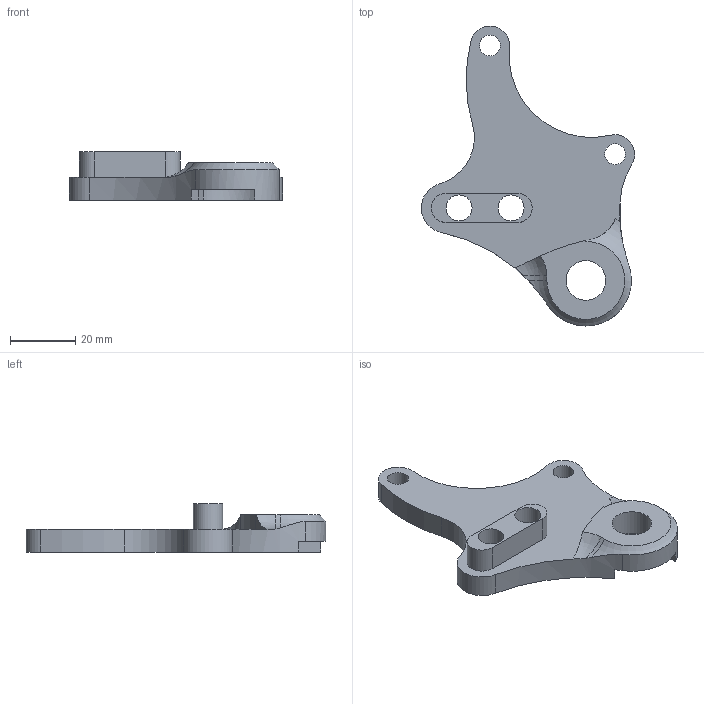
import cadquery as cq
import math

PLATE_THICKNESS = 7.0
BOSS_HEIGHT = 11.5
SLIDER_HEIGHT = 14.91
RECESS_DEPTH = 3.35

PIVOT = (0.0, 0.0)
BOSS_RADIUS = 14.0
BOSS_TOP_RADIUS = 12.0
PIVOT_HOLE_DIAMETER = 12.2

TOP_LUG = (-29.5, 72.26)
RIGHT_LUG = (9.0, 38.83)
SMALL_LUG_RADIUS = 6.0
LUG_HOLE_DIAMETER = 6.4
LEFT_LUG = (-42.9, 22.3)
LEFT_LUG_RADIUS = 7.68

UPPER_HOLLOW_RADIUS = 25.4
RIGHT_HOLLOW_RADIUS = 26.0
LOWER_RIGHT_HOLLOW_RADIUS = 48.8
LOWER_RIGHT_CENTER_Y = 20.9
LOWER_LEFT_HOLLOW_RADIUS = 51.0
LEFT_HOLLOW_RADIUS = 14.8
LEFT_FLANK_RADIUS = 49.2
LEFT_FLANK_CENTER_Y = 61.7

SLIDER_LENGTH = 31.0
SLIDER_WIDTH = 9.0
SLIDER_CENTER = (-32.0, LEFT_LUG[1])
SLIDER_HOLE_XS = (-39.0, -23.0)
SLIDER_HOLE_DIAMETER = 8.0

FLANK_HEIGHT = BOSS_HEIGHT - PLATE_THICKNESS
FLANK_WIDTH = 9.0
FLANK_RADIUS = (FLANK_WIDTH**2 + FLANK_HEIGHT**2) / (2 * FLANK_HEIGHT)
FLANK_ANGLE = math.asin(FLANK_WIDTH / FLANK_RADIUS)

FLARE_START_Y = 1.4
FLARE_RADIUS = 10.9

WALL_START = (-25.0, 2.34)
WALL_BEND = (-13.9, 7.55)
WALL_MIDDLE = (-7.0, 10.4)
WALL_CREST = (0.0, 12.3)
WALL_HOLLOW_MIDDLE = (5.9, 14.7)
WALL_END = (9.3, 19.4)

RECESS_CENTER_Y = -5.4
RECESS_RADIUS = 11.5
RECESS_WALL_X = 6.5
RECESS_CORNER_X = -9.4
RECESS_NECK = (-10.8, -1.8)
RECESS_LIP_MIDDLE = (-11.9, -3.7)
RECESS_LIP_END = (-13.15, -5.8)

CLEARANCE = 10.0


def toward(start, target, distance):
    """Point at a distance from start, on the line to target."""
    span = math.dist(start, target)
    return tuple(s + (t - s) * distance / span for s, t in zip(start, target))


def center_at(first, first_distance, second, second_distance):
    """Point at given distances from two points, on the left going from first to second."""
    span = math.dist(first, second)
    along = (first_distance**2 - second_distance**2 + span**2) / (2 * span)
    across = math.sqrt(first_distance**2 - along**2)
    ux = (second[0] - first[0]) / span
    uy = (second[1] - first[1]) / span
    return (first[0] + along * ux - across * uy, first[1] + along * uy + across * ux)


def center_at_height(point, distance, y, side):
    """Point at height y and a given distance from a point; side is +1 for right, -1 for left."""
    return (point[0] + side * math.sqrt(distance**2 - (y - point[1]) ** 2), y)


def arc_middle(center, radius, start, end):
    """Middle of the shorter arc between two points of a circle."""
    chord_middle = ((start[0] + end[0]) / 2, (start[1] + end[1]) / 2)
    return toward(center, chord_middle, radius)


def plate_outline():
    """Closed outline of lugs and hollows, all tangent to each other."""
    upper = center_at(
        TOP_LUG, SMALL_LUG_RADIUS + UPPER_HOLLOW_RADIUS, RIGHT_LUG, SMALL_LUG_RADIUS + UPPER_HOLLOW_RADIUS
    )
    lower_right = center_at_height(
        PIVOT, BOSS_RADIUS + LOWER_RIGHT_HOLLOW_RADIUS, LOWER_RIGHT_CENTER_Y, 1
    )
    right = center_at(
        lower_right,
        LOWER_RIGHT_HOLLOW_RADIUS - RIGHT_HOLLOW_RADIUS,
        RIGHT_LUG,
        SMALL_LUG_RADIUS + RIGHT_HOLLOW_RADIUS,
    )
    lower_left = center_at(
        PIVOT,
        BOSS_RADIUS + LOWER_LEFT_HOLLOW_RADIUS,
        LEFT_LUG,
        LEFT_LUG_RADIUS + LOWER_LEFT_HOLLOW_RADIUS,
    )
    flank = center_at_height(TOP_LUG, LEFT_FLANK_RADIUS - SMALL_LUG_RADIUS, LEFT_FLANK_CENTER_Y, 1)
    left = center_at(
        LEFT_LUG,
        LEFT_LUG_RADIUS + LEFT_HOLLOW_RADIUS,
        flank,
        LEFT_FLANK_RADIUS + LEFT_HOLLOW_RADIUS,
    )

    top_right = toward(TOP_LUG, upper, SMALL_LUG_RADIUS)
    right_top = toward(RIGHT_LUG, upper, SMALL_LUG_RADIUS)
    right_bottom = toward(RIGHT_LUG, right, SMALL_LUG_RADIUS)
    right_joint = toward(lower_right, right, LOWER_RIGHT_HOLLOW_RADIUS)
    boss_right = toward(PIVOT, lower_right, BOSS_RADIUS)
    boss_left = toward(PIVOT, lower_left, BOSS_RADIUS)
    left_bottom = toward(LEFT_LUG, lower_left, LEFT_LUG_RADIUS)
    left_top = toward(LEFT_LUG, left, LEFT_LUG_RADIUS)
    flank_bottom = toward(flank, left, LEFT_FLANK_RADIUS)
    flank_top = toward(flank, TOP_LUG, LEFT_FLANK_RADIUS)

    top_tip = (TOP_LUG[0], TOP_LUG[1] + SMALL_LUG_RADIUS)
    right_tip = (RIGHT_LUG[0] + SMALL_LUG_RADIUS, RIGHT_LUG[1])
    boss_tip = (PIVOT[0], PIVOT[1] - BOSS_RADIUS)
    left_tip = (LEFT_LUG[0] - LEFT_LUG_RADIUS, LEFT_LUG[1])

    return (
        cq.Workplane("XY")
        .moveTo(*top_right)
        .threePointArc(arc_middle(upper, UPPER_HOLLOW_RADIUS, top_right, right_top), right_top)
        .threePointArc(right_tip, right_bottom)
        .threePointArc(arc_middle(right, RIGHT_HOLLOW_RADIUS, right_bottom, right_joint), right_joint)
        .threePointArc(
            arc_middle(lower_right, LOWER_RIGHT_HOLLOW_RADIUS, right_joint, boss_right), boss_right
        )
        .threePointArc(boss_tip, boss_left)
        .threePointArc(
            arc_middle(lower_left, LOWER_LEFT_HOLLOW_RADIUS, boss_left, left_bottom), left_bottom
        )
        .threePointArc(left_tip, left_top)
        .threePointArc(arc_middle(left, LEFT_HOLLOW_RADIUS, left_top, flank_bottom), flank_bottom)
        .threePointArc(arc_middle(flank, LEFT_FLANK_RADIUS, flank_bottom, flank_top), flank_top)
        .threePointArc(top_tip, top_right)
        .close()
    )


def flank_profile(top_x, direction):
    """Start of a section at the top edge, down the hollow flank to the plate face."""
    foot_x = top_x + direction * FLANK_WIDTH
    middle = (
        foot_x - direction * FLANK_RADIUS * math.sin(FLANK_ANGLE / 2),
        PLATE_THICKNESS + FLANK_RADIUS * (1 - math.cos(FLANK_ANGLE / 2)),
    )
    return (
        cq.Workplane("XZ").moveTo(top_x, BOSS_HEIGHT).threePointArc(middle, (foot_x, PLATE_THICKNESS))
    )


def round_boss():
    """Boss turned about the pivot axis, its foot wider than the plate there."""
    return (
        flank_profile(BOSS_TOP_RADIUS, 1)
        .lineTo(BOSS_TOP_RADIUS + FLANK_WIDTH, 0)
        .lineTo(0, 0)
        .lineTo(0, BOSS_HEIGHT)
        .close()
        .revolve(360, (0, 0, 0), (0, 1, 0))
    )


def left_flare():
    """Boss flank run straight from the pivot line, then curved out to the left."""
    straight = (
        flank_profile(-BOSS_TOP_RADIUS, -1)
        .lineTo(-BOSS_TOP_RADIUS - FLANK_WIDTH, 0)
        .lineTo(0, 0)
        .lineTo(0, BOSS_HEIGHT)
        .close()
        .extrude(-FLARE_START_Y)
    )
    flare_axis_x = -BOSS_TOP_RADIUS - FLARE_RADIUS
    hollow = (
        flank_profile(FLARE_RADIUS, -1)
        .lineTo(0, PLATE_THICKNESS)
        .lineTo(0, BOSS_HEIGHT)
        .close()
        .revolve(360, (0, 0, 0), (0, 1, 0))
        .translate((flare_axis_x, FLARE_START_Y, 0))
    )
    curved = (
        cq.Workplane("XY")
        .box(-flare_axis_x, BOSS_TOP_RADIUS, BOSS_HEIGHT, centered=False)
        .translate((flare_axis_x, FLARE_START_Y, 0))
        .cut(hollow)
    )
    return straight.union(curved)


def boss_side():
    """Column on the boss side of the upright wall."""
    return (
        cq.Workplane("XY")
        .moveTo(*WALL_START)
        .lineTo(*WALL_BEND)
        .threePointArc(WALL_MIDDLE, WALL_CREST)
        .threePointArc(WALL_HOLLOW_MIDDLE, WALL_END)
        .lineTo(WALL_END[0] + CLEARANCE, WALL_END[1])
        .lineTo(WALL_END[0] + CLEARANCE, -BOSS_RADIUS - CLEARANCE)
        .lineTo(WALL_START[0], -BOSS_RADIUS - CLEARANCE)
        .close()
        .extrude(BOSS_HEIGHT)
    )


def slider():
    """Round-ended block standing on the plate."""
    return (
        cq.Workplane("XY")
        .center(*SLIDER_CENTER)
        .slot2D(SLIDER_LENGTH, SLIDER_WIDTH)
        .extrude(SLIDER_HEIGHT)
    )


def through_hole(center, diameter):
    """Cutting cylinder through the full height of the part."""
    return cq.Workplane("XY").center(*center).circle(diameter / 2).extrude(SLIDER_HEIGHT)


def boss_recess():
    """Pocket in the underside, open to the outside below the pivot."""

    def on_arc(x):
        return (x, RECESS_CENTER_Y + math.sqrt(RECESS_RADIUS**2 - x**2))

    outside = -BOSS_RADIUS - CLEARANCE
    return (
        cq.Workplane("XY")
        .moveTo(RECESS_WALL_X, outside)
        .lineTo(*on_arc(RECESS_WALL_X))
        .threePointArc(on_arc(0), on_arc(RECESS_CORNER_X))
        .lineTo(*RECESS_NECK)
        .threePointArc(RECESS_LIP_MIDDLE, RECESS_LIP_END)
        .lineTo(outside, outside)
        .close()
        .extrude(RECESS_DEPTH)
    )


plate = plate_outline().extrude(PLATE_THICKNESS)
boss = round_boss().union(left_flare()).intersect(boss_side())
boss = boss.intersect(plate_outline().extrude(BOSS_HEIGHT))

result = plate.union(boss).union(slider()).cut(boss_recess())
result = result.cut(through_hole(PIVOT, PIVOT_HOLE_DIAMETER))
for lug in (TOP_LUG, RIGHT_LUG):
    result = result.cut(through_hole(lug, LUG_HOLE_DIAMETER))
for hole_x in SLIDER_HOLE_XS:
    result = result.cut(through_hole((hole_x, SLIDER_CENTER[1]), SLIDER_HOLE_DIAMETER))